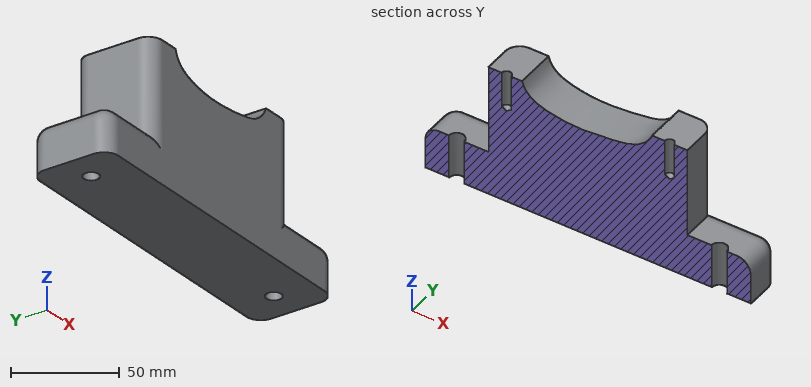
import cadquery as cq
import math

length = 180.0
width = 44.0
height = 75.0

foot_height = 25.0
upright_length = 110.0
edge_radius = 8.0

mount_diameter = 8.3
mount_spacing = 145.0

cap_diameter = 5.0
cap_spacing = 90.0
cap_depth = 19.8
drill_point_angle = 118.0

saddle_profile = [
    (-36.4, 0.0),
    (-31.9, 7.2),
    (-22.9, 11.3),
    (-3.0, 13.7),
    (14.0, 12.2),
    (27.2, 9.0),
    (35.5, 0.0),
]


def make_foot():
    """Base block with all upright and top edges rounded."""
    block = cq.Workplane("XY").box(length, width, foot_height, centered=(True, True, False))
    return block.edges("|Z").fillet(edge_radius).faces(">Z").edges().fillet(edge_radius)


def make_upright():
    """Central block with rounded corners, standing on the same plane as the foot."""
    block = cq.Workplane("XY").box(upright_length, width, height, centered=(True, True, False))
    return block.edges("|Z").fillet(edge_radius)


def make_saddle():
    """Freeform trough running through the full width."""
    points = [(x, height - depth) for x, depth in saddle_profile]
    return (
        cq.Workplane("XZ", origin=(0, width / 2, 0))
        .moveTo(*points[0])
        .spline(points[1:], includeCurrent=True)
        .close()
        .extrude(width)
    )


def make_mount_hole(x):
    """Plain hole through the foot."""
    return cq.Workplane("XY").center(x, 0).circle(mount_diameter / 2).extrude(foot_height)


def make_cap_hole(x):
    """Blind hole with a conical drill point."""
    radius = cap_diameter / 2
    point_depth = radius / math.tan(math.radians(drill_point_angle / 2))
    half_section = (
        cq.Workplane("XZ")
        .moveTo(0, 0)
        .lineTo(radius, 0)
        .lineTo(radius, -cap_depth)
        .lineTo(0, -cap_depth - point_depth)
        .close()
    )
    return half_section.revolve(360, (0, 0, 0), (0, 1, 0)).translate((x, 0, height))


result = make_foot().union(make_upright()).cut(make_saddle())

for side in (-1, 1):
    result = result.cut(make_mount_hole(side * mount_spacing / 2))
    result = result.cut(make_cap_hole(side * cap_spacing / 2))